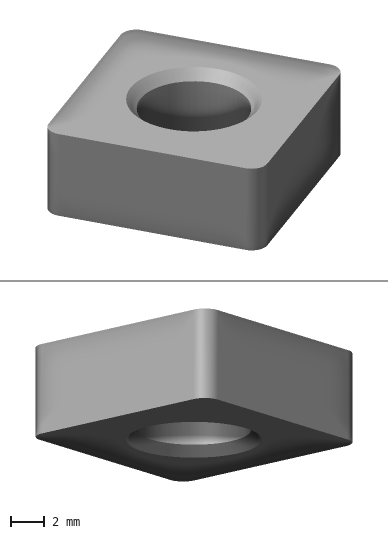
import cadquery as cq

side = 13.9
height = 5.5
corner_radius = 1.0

hole_diameter = 6.8
chamfer_size = 0.63

block = (
    cq.Workplane("XY")
    .rect(side, side)
    .extrude(height)
    .edges("|Z")
    .fillet(corner_radius)
)

drilled = block.faces(">Z").workplane().hole(hole_diameter)

result = drilled.edges("%CIRCLE").edges(
    cq.selectors.RadiusNthSelector(-1)
).chamfer(chamfer_size)